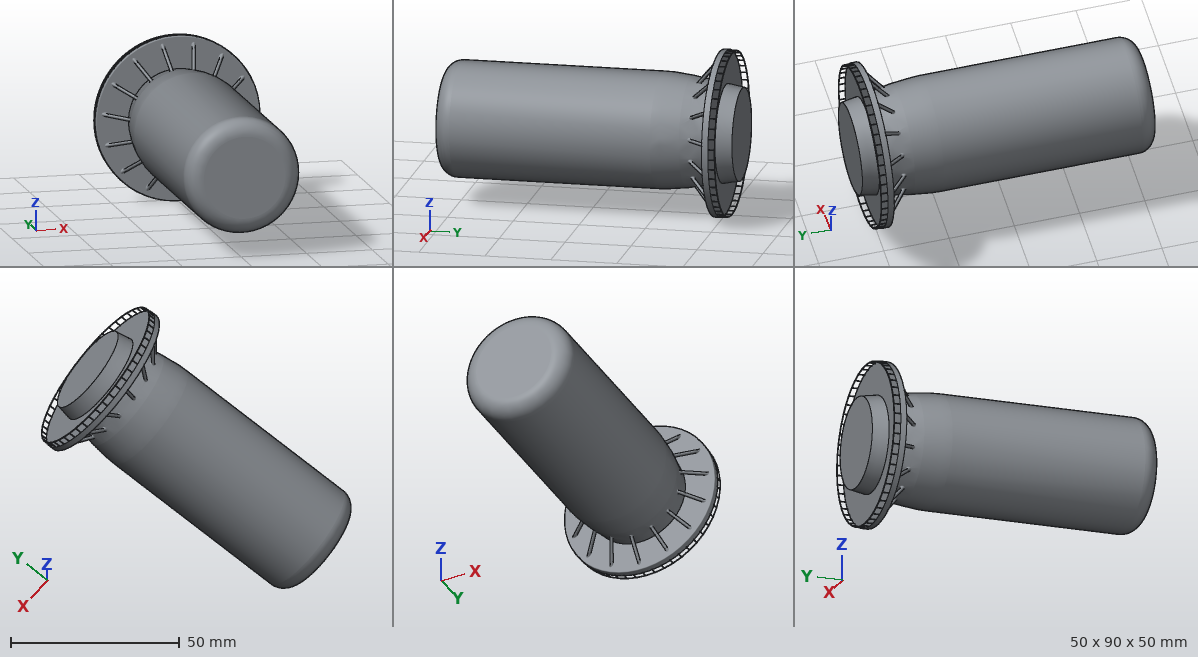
import cadquery as cq
import math


body_length = 90
body_diameter = 35.0
front_fillet = 5.0
taper_angle = math.radians(10)
taper_depth = 15.5
shoulder_radius = 50.0

deck_diameter = 50.0
deck_depth = 4.95
deck_thickness = 2.0
deck_fillet = 0.3

post_count = 50
rail_diameter = 0.2
rail_height = 2.0
rail_inset = 0.3

strut_count = 15
strut_diameter = 1.0
strut_deck_radius = 22.7
strut_angle = math.radians(50)
strut_embed = 0.7
strut_length = 9
strut_fillet = 0.3

body_radius = body_diameter / 2
deck_radius = deck_diameter / 2
deck_front = deck_depth + deck_thickness
rail_radius = deck_radius - rail_inset
rail_depth = deck_depth - rail_height


def axial_disc(radius, depth, thickness):
    """Disc on the Y axis whose rear face lies at the given depth."""
    return cq.Workplane("XZ", origin=(0, -depth, 0)).circle(radius).extrude(thickness)


def make_body():
    """Conical neck blending through a tangent arc into a cylinder with a rounded front end."""
    shoulder_depth = taper_depth + shoulder_radius * math.sin(taper_angle)
    taper_radius = body_radius - shoulder_radius * (1 - math.cos(taper_angle))
    neck_radius = taper_radius - taper_depth * math.tan(taper_angle)
    half_angle = taper_angle / 2
    shoulder_mid = (
        body_radius - shoulder_radius * (1 - math.cos(half_angle)),
        -(shoulder_depth - shoulder_radius * math.sin(half_angle)),
    )
    profile = (
        cq.Workplane("XY")
        .lineTo(neck_radius, 0)
        .lineTo(taper_radius, -taper_depth)
        .threePointArc(shoulder_mid, (body_radius, -shoulder_depth))
        .lineTo(body_radius, -body_length)
        .lineTo(0, -body_length)
        .close()
    )
    return profile.revolve(360, (0, 0, 0), (0, 1, 0)).faces("<Y").edges().fillet(front_fillet)


def make_strut(angle):
    """Sloping brace from the front of the deck inwards to the body."""
    across = cq.Vector(math.sin(angle), 0, -math.cos(angle))
    direction = across * -math.sin(strut_angle) + cq.Vector(0, -math.cos(strut_angle), 0)
    foot = across * strut_deck_radius + cq.Vector(0, -deck_front, 0)
    start = foot - direction * strut_embed
    return cq.Solid.makeCylinder(strut_diameter / 2, strut_embed + strut_length, start, direction)


def make_post(angle):
    """Thin upright standing on the rear face of the deck and ending inside the hoop."""
    start = cq.Vector(rail_radius * math.sin(angle), -deck_depth, rail_radius * math.cos(angle))
    return cq.Solid.makeCylinder(rail_diameter / 2, rail_height, start, cq.Vector(0, 1, 0))


def around(count, make_item):
    """Evenly spaced items about the Y axis."""
    return [make_item(2 * math.pi * index / count) for index in range(count)]


hoop = cq.Solid.makeTorus(
    rail_radius, rail_diameter / 2, cq.Vector(0, -rail_depth, 0), cq.Vector(0, 1, 0)
)
deck = axial_disc(deck_radius, deck_depth, deck_thickness).faces("<Y").edges().fillet(deck_fillet)

braced_body = cq.Workplane(make_body().val().fuse(deck.val(), *around(strut_count, make_strut)))
braced_body = braced_body.edges("not (%CIRCLE or %LINE)").fillet(strut_fillet)

result = cq.Workplane(braced_body.val().fuse(hoop, *around(post_count, make_post)))